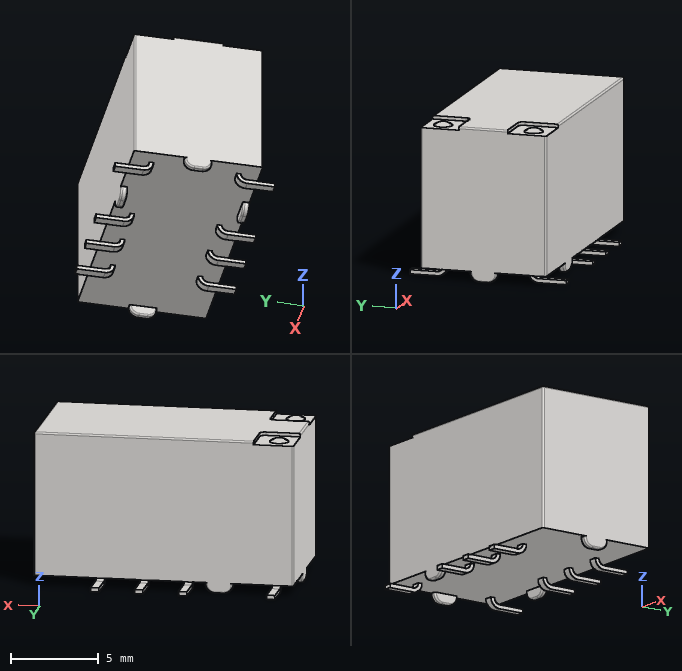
import cadquery as cq
import math

length = 15.0
width = 7.5
total_height = 9.0
standoff = 0.6
edge_radius = 0.1

pocket_length = 2.3
pocket_width = 2.3
pocket_depth = 0.2
pocket_corner_radius = 0.3
dome_radius = 0.54
dome_height = pocket_depth
dome_x = -length / 2 + 1.0
dome_y = 2.7

tab_width = 1.6
tab_thickness = 0.4
tab_corner_radius = 0.55
tab_edge_radius = 0.1
side_tab_x = -3.2

pitch = 2.54
pin_positions_x = [-2.5 * pitch, -0.5 * pitch, 0.5 * pitch, 1.5 * pitch]
pin_width = 0.5
pin_thickness = 0.25
pin_row_y = 2.54
pin_tip_y = 4.65

pocket_floor = total_height - pocket_depth


def make_block():
    block = cq.Workplane("XY").workplane(offset=standoff).rect(length, width).extrude(total_height - standoff)
    return block.edges("|Z or >Z").fillet(edge_radius)


def make_pocket(side):
    """Cutter for the corner pocket on the +Y (side = 1) or -Y (side = -1) half."""
    cutter = (
        cq.Workplane("XY")
        .workplane(offset=pocket_floor)
        .center(-length / 2, side * width / 2)
        .rect(2 * pocket_length, 2 * pocket_width)
        .extrude(2 * pocket_depth)
    )
    return cutter.edges("|Z").fillet(pocket_corner_radius)


def make_dome(side):
    """Spherical cap standing on a pocket floor, continued down into the block as a short stub."""
    stub_bottom = pocket_floor - dome_height
    sphere_radius = (dome_radius**2 + dome_height**2) / (2 * dome_height)
    half_angle = math.asin(dome_radius / sphere_radius) / 2
    crown = pocket_floor + dome_height
    mid_x = sphere_radius * math.sin(half_angle)
    mid_z = crown - sphere_radius * (1 - math.cos(half_angle))
    return (
        cq.Workplane("XZ")
        .moveTo(0, stub_bottom)
        .lineTo(dome_radius, stub_bottom)
        .lineTo(dome_radius, pocket_floor)
        .threePointArc((mid_x, mid_z), (0, crown))
        .close()
        .revolve(360, (0, 0, 0), (0, 1, 0))
        .translate((dome_x, side * dome_y, 0))
    )


def make_tab():
    """Round-cornered tab below a -Y wall, its outer face in the plane Y = 0."""
    half = tab_width / 2
    flat = half - tab_corner_radius
    tab = (
        cq.Workplane("XZ")
        .moveTo(-half, standoff)
        .lineTo(-half, tab_corner_radius)
        .radiusArc((-flat, 0), -tab_corner_radius)
        .lineTo(flat, 0)
        .radiusArc((half, tab_corner_radius), -tab_corner_radius)
        .lineTo(half, standoff)
        .close()
        .extrude(-tab_thickness)
    )
    rounded = tab.faces("<Y or >Y").edges("not >Z")
    return rounded.fillet(tab_edge_radius)


def make_housing():
    housing = make_block()
    for side in (-1, 1):
        housing = housing.cut(make_pocket(side))
        housing = housing.union(make_dome(side))

    front_tab = make_tab().translate((side_tab_x, -width / 2, 0))
    end_tab = make_tab().translate((0, -length / 2, 0)).rotate((0, 0, 0), (0, 0, 1), -90)
    for tab in (front_tab, front_tab.mirror("XZ"), end_tab, end_tab.mirror("YZ")):
        housing = housing.union(tab)
    return housing


def make_pin(x, side):
    """Pin that drops from the housing and bends out to a foot on the mounting plane."""
    outer_radius = standoff
    inner_radius = outer_radius - pin_thickness
    bend_y = pin_row_y - pin_thickness / 2 + outer_radius
    pin = (
        cq.Workplane("YZ")
        .moveTo(bend_y - outer_radius, standoff)
        .radiusArc((bend_y, 0), -outer_radius)
        .lineTo(pin_tip_y, 0)
        .lineTo(pin_tip_y, pin_thickness)
        .lineTo(bend_y, pin_thickness)
        .radiusArc((bend_y - inner_radius, standoff), inner_radius)
        .close()
        .extrude(pin_width / 2, both=True)
        .translate((x, 0, 0))
    )
    return pin if side > 0 else pin.mirror("XZ")


housing = make_housing()
pins = [make_pin(x, side) for side in (-1, 1) for x in pin_positions_x]

result = cq.Compound.makeCompound([housing.solids().val(), *[pin.val() for pin in pins]])